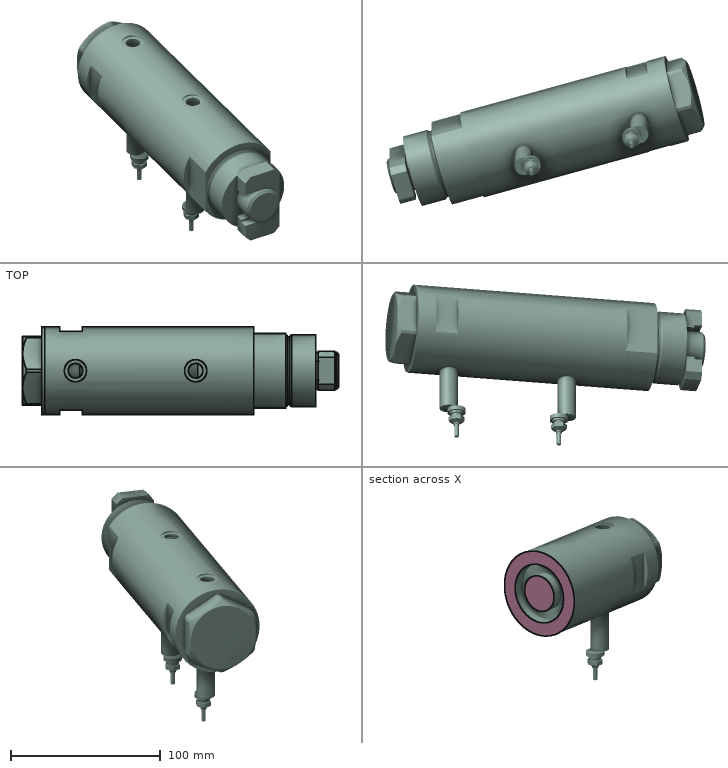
import cadquery as cq
import math


housing_dia = 59.0
housing_radius = housing_dia / 2
housing_start = 15.0
housing_end = 154.5
bore_radius = 20.0
counterbore_radius = 26.2

nose_start = 117.2
collar_end = 176.0
collar_half_width = 25.0
thread_radius = 24.0
neck_end = 196.0
undercut_depth = 1.3
undercut_length = 3.8

notch_start = 25.1
notch_length = 14.8
notch_half_width = 26.5

port_positions = (35.5, 115.7)
port_radius = 4.9
port_face_radius = 7.4
port_face_depth = 1.0

plug_hex_length = 12.9
plug_hex_across_flats = 46.0
plug_corner_radius = 26.0
plug_face_radius = 22.5
plug_chamfer_length = 2.7
plug_nose_end = 38.5

piston_length = 59.1
rod_radius = 12.5
rod_end = 211.2
rod_chamfer = 1.7
rod_flat_start = 194.3
rod_flat_half_height = 10.8
rod_head_start = 203.2

coupling_start = 197.7
coupling_length = 10.8
coupling_width = 26.2
coupling_height = 51.3
coupling_chamfer = 4.0

sensor_placements = ((38.9, 1), (119.0, -1))
tube_radius = 6.1
tube_top = -26.8
tube_bottom = -56.4
connector_offset = 5.3
flange_length = 2.7
step_radius = 4.6
step_length = 1.3
waist_radius = 3.5
waist_length = 2.0
nut_radius = 5.3
nut_length = 3.0
nut_turn = -10
cone_length = 1.7
cone_large_radius = 4.9
cone_small_radius = 2.1
stub_length = 1.0
cable_radius = 1.5
total_height = 106.0
cable_bottom = housing_radius - total_height


def x_cylinder(radius, start, end):
    """Cylinder along the X axis."""
    return cq.Workplane("YZ", origin=(start, 0, 0)).circle(radius).extrude(end - start)


def z_cylinder(x, radius, bottom, top):
    """Vertical cylinder standing over the X axis."""
    return cq.Workplane("XY", origin=(x, 0, bottom)).circle(radius).extrude(top - bottom)


def block(start, end, y_min, y_max, z_min, z_max):
    """Box given by its limits."""
    size = (end - start, y_max - y_min, z_max - z_min)
    return cq.Workplane("XY").box(*size, centered=False).translate((start, y_min, z_min))


def make_threaded_neck():
    root = thread_radius - undercut_depth
    undercut_end = collar_end + undercut_length
    outline = [
        (collar_end, 0),
        (collar_end, thread_radius),
        (collar_end + undercut_depth, root),
        (undercut_end - undercut_depth, root),
        (undercut_end, thread_radius),
        (neck_end, thread_radius),
        (neck_end, 0),
    ]
    return cq.Workplane("XZ").polyline(outline).close().revolve(360, (0, 0, 0), (1, 0, 0))


def cut_side_flats(body, start, end, half_width):
    """Cut a flat on the -Y and on the +Y side of a body."""
    reach = housing_radius
    lower = block(start, end, -reach, -half_width, -reach, reach)
    upper = block(start, end, half_width, reach, -reach, reach)
    return body.cut(lower).cut(upper)


def cut_port(body, x):
    """Spot face and hole opening into the bore."""
    face_height = housing_radius - port_face_depth
    spot_face = z_cylinder(x, port_face_radius, face_height, housing_radius)
    hole = z_cylinder(x, port_radius, 0, housing_radius)
    return body.cut(spot_face).cut(hole)


def make_housing():
    body = x_cylinder(housing_radius, housing_start, housing_end)
    body = cut_side_flats(body, notch_start, notch_start + notch_length, notch_half_width)
    for x in port_positions:
        body = cut_port(body, x)
    body = body.cut(x_cylinder(bore_radius, housing_start, nose_start))
    body = body.cut(x_cylinder(counterbore_radius, nose_start, housing_end))
    for x, _ in sensor_placements:
        body = body.cut(make_tube(x))
    return body


def make_head():
    collar = x_cylinder(housing_radius, housing_end, collar_end)
    collar = cut_side_flats(collar, housing_end, collar_end, collar_half_width)
    nose = x_cylinder(counterbore_radius, nose_start, housing_end)
    body = nose.union(collar).union(make_threaded_neck())
    return body.cut(x_cylinder(rod_radius, nose_start, neck_end))


def make_plug():
    """Hexagon head with turned corners, flange and nose."""
    corner_dia = plug_hex_across_flats / math.cos(math.pi / 6)
    hexagon = cq.Workplane("YZ").transformed(rotate=(0, 0, 90)).polygon(6, corner_dia)
    head = hexagon.extrude(plug_hex_length)
    turned_outline = [
        (0, 0),
        (0, plug_face_radius),
        (plug_chamfer_length, plug_corner_radius),
        (plug_hex_length, plug_corner_radius),
        (plug_hex_length, 0),
    ]
    turned = cq.Workplane("XZ").polyline(turned_outline).close().revolve(360, (0, 0, 0), (1, 0, 0))
    flange = x_cylinder(housing_radius, plug_hex_length, housing_start)
    nose = x_cylinder(bore_radius, housing_start, plug_nose_end)
    return head.intersect(turned).union(flange).union(nose)


def make_piston_rod():
    """Piston resting on the plug nose, with a rod whose end is necked by two flats."""
    piston_end = plug_nose_end + piston_length
    piston = x_cylinder(bore_radius, plug_nose_end, piston_end)
    rod = x_cylinder(rod_radius, piston_end, rod_end).faces(">X").chamfer(rod_chamfer)
    for side in (1, -1):
        inner, outer = sorted((side * rod_flat_half_height, side * rod_radius))
        rod = rod.cut(block(rod_flat_start, rod_head_start, -rod_radius, rod_radius, inner, outer))
    return piston.union(rod)


def make_coupling(piston_rod):
    """Block with a T slot open to -Y, fitted around the neck and head of the rod."""
    middle = coupling_start + coupling_length / 2
    end = coupling_start + coupling_length
    body = cq.Workplane("XY").box(coupling_length, coupling_width, coupling_height)
    body = body.edges("|X").chamfer(coupling_chamfer).translate((middle, 0, 0))
    front = -coupling_width / 2
    neck_half = rod_flat_half_height
    neck_slot = block(coupling_start, rod_head_start, front, 0, -neck_half, neck_half)
    head_slot = block(rod_head_start, end, front, 0, -rod_radius, rod_radius)
    return body.cut(neck_slot).cut(head_slot).cut(piston_rod)


def make_tube(x):
    return z_cylinder(x, tube_radius, tube_bottom, tube_top)


def make_sensor(tube_x, direction):
    """Tube with an eccentric connector: flange, step, waist, hexagon nut, cone, stub and cable."""
    x = tube_x + direction * connector_offset
    flange_bottom = tube_bottom - flange_length
    step_bottom = flange_bottom - step_length
    waist_bottom = step_bottom - waist_length
    nut_bottom = waist_bottom - nut_length
    cone_bottom = nut_bottom - cone_length
    stub_bottom = cone_bottom - stub_length
    body = make_tube(tube_x).union(z_cylinder(x, tube_radius, flange_bottom, tube_bottom))
    body = body.union(z_cylinder(x, step_radius, step_bottom, flange_bottom))
    body = body.union(z_cylinder(x, waist_radius, waist_bottom, step_bottom))
    nut_plane = cq.Workplane("XY", origin=(x, 0, nut_bottom)).transformed(rotate=(0, 0, nut_turn))
    body = body.union(nut_plane.polygon(6, 2 * nut_radius).extrude(nut_length))
    cone = cq.Solid.makeCone(
        cone_small_radius, cone_large_radius, cone_length, pnt=cq.Vector(x, 0, cone_bottom)
    )
    body = body.union(cq.Workplane(obj=cone))
    body = body.union(z_cylinder(x, cone_small_radius, stub_bottom, cone_bottom))
    return body.union(z_cylinder(x, cable_radius, cable_bottom, stub_bottom))


housing = make_housing()
head = make_head()
plug = make_plug()
piston_rod = make_piston_rod()
coupling = make_coupling(piston_rod)

sensors = [make_sensor(tube_x, direction).val() for tube_x, direction in sensor_placements]

result = cq.Compound.makeCompound(
    [housing.val(), head.val(), plug.val(), piston_rod.val(), coupling.val(), *sensors]
)